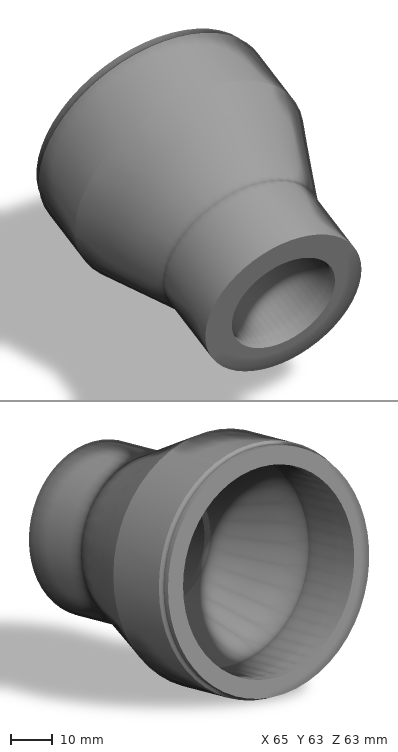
import cadquery as cq


total_length = 65.0
spigot_length = 20.0
wide_end = 20.0
lip_length = 1.75
lip_cone_end = 2.5

wide_diameter = 63.0
lip_diameter = 61.4
spigot_diameter = 43.0

wide_bore = 52.2
cone_bore_end = 32.0
spigot_bore = 28.4

spigot_start = total_length - spigot_length
cone_length = spigot_start - wide_end

bore_cone_lead = 2.5
wide_bore_depth = wide_end - bore_cone_lead
shoulder_depth = wide_bore_depth + cone_length


def revolve_about_x(profile):
    """Revolve a closed (x, radius) outline a full turn about the X axis."""
    return cq.Workplane("XY").polyline(profile).close().revolve(360, (0, 0, 0), (1, 0, 0))


def make_body():
    """Solid outer shape: chamfered lip, wide cylinder, cone and spigot."""
    return revolve_about_x([
        (0, 0),
        (0, lip_diameter / 2),
        (lip_length, lip_diameter / 2),
        (lip_cone_end, wide_diameter / 2),
        (wide_end, wide_diameter / 2),
        (spigot_start, spigot_diameter / 2),
        (total_length, spigot_diameter / 2),
        (total_length, 0),
    ])


def make_bore():
    """Wide bore, inner cone, flat shoulder and through bore of the spigot."""
    return revolve_about_x([
        (0, 0),
        (0, wide_bore / 2),
        (wide_bore_depth, wide_bore / 2),
        (shoulder_depth, cone_bore_end / 2),
        (shoulder_depth, spigot_bore / 2),
        (total_length, spigot_bore / 2),
        (total_length, 0),
    ])


result = make_body().cut(make_bore())